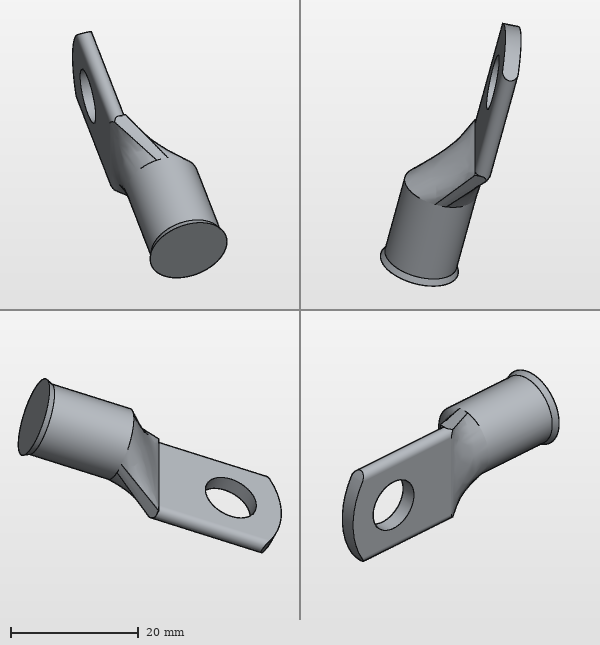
import cadquery as cq
import math

length = 43.6
palm_width = 16.8
palm_thickness = 2.53
palm_lower_y = -6.1
palm_length = 20.85
tip_radius = 14.05
hole_diameter = 8.65
hole_x = 8.6

barrel_radius = 5.8
barrel_start_x = 29.05
flare_radius = 6.28
flare_length = 1.05
side_strip_angle = math.radians(9)

edge_radius = palm_thickness / 2
palm_upper_y = palm_lower_y + palm_thickness
palm_mid_y = palm_lower_y + edge_radius
half_width = palm_width / 2
half_flat = half_width - edge_radius


def palm_section(x):
    """Palm cross-section at x: two flat faces joined by full-round edges."""
    return (
        cq.Workplane("YZ", origin=(x, 0, 0))
        .moveTo(palm_upper_y, -half_flat)
        .lineTo(palm_upper_y, half_flat)
        .threePointArc((palm_mid_y, half_width), (palm_lower_y, half_flat))
        .lineTo(palm_lower_y, -half_flat)
        .threePointArc((palm_mid_y, -half_width), (palm_upper_y, -half_flat))
        .close()
    )


def transition_section(x):
    """Square-cornered rectangle at x, as wide and thick as the palm."""
    return (
        cq.Workplane("YZ", origin=(x, 0, 0))
        .moveTo(palm_upper_y, -half_width)
        .lineTo(palm_upper_y, half_width)
        .lineTo(palm_lower_y, half_width)
        .lineTo(palm_lower_y, -half_width)
        .close()
    )


def barrel_section(x):
    """Barrel circle at x, split into four arcs that match the sides of the rectangle."""
    strip_y = barrel_radius * math.sin(side_strip_angle)
    strip_z = barrel_radius * math.cos(side_strip_angle)
    return (
        cq.Workplane("YZ", origin=(x, 0, 0))
        .moveTo(strip_y, -strip_z)
        .threePointArc((barrel_radius, 0), (strip_y, strip_z))
        .threePointArc((0, barrel_radius), (-strip_y, strip_z))
        .threePointArc((-barrel_radius, 0), (-strip_y, -strip_z))
        .threePointArc((0, -barrel_radius), (strip_y, -strip_z))
        .close()
    )


def make_palm():
    """Flat palm with an arched tip and a bolt hole."""
    blank = palm_section(0).extrude(palm_length)
    corner_x = tip_radius - math.sqrt(tip_radius**2 - half_width**2)
    outline = (
        cq.Workplane("XZ", origin=(0, palm_upper_y, 0))
        .moveTo(corner_x, -half_width)
        .threePointArc((0, 0), (corner_x, half_width))
        .lineTo(palm_length, half_width)
        .lineTo(palm_length, -half_width)
        .close()
        .extrude(palm_thickness)
    )
    hole = (
        cq.Workplane("XZ", origin=(hole_x, palm_upper_y, 0))
        .circle(hole_diameter / 2)
        .extrude(palm_thickness)
    )
    return blank.intersect(outline).cut(hole)


def make_transition():
    """Straight-ruled body from the palm rectangle to the barrel circle."""
    start = transition_section(palm_length).wires().val()
    end = barrel_section(barrel_start_x).wires().val()
    body = cq.Workplane(cq.Solid.makeLoft([start, end], True))

    envelope_depth = barrel_radius - palm_lower_y
    envelope = (
        cq.Workplane("XY")
        .box(barrel_start_x, envelope_depth, palm_width, centered=(False, False, True))
        .translate((0, palm_lower_y, 0))
        .edges("|X and <Y")
        .fillet(edge_radius)
    )
    return body.intersect(envelope)


def make_barrel():
    """Round barrel ending in a conical flare."""
    flare_start_x = length - flare_length
    return (
        cq.Workplane("XY")
        .moveTo(barrel_start_x, 0)
        .lineTo(barrel_start_x, barrel_radius)
        .lineTo(flare_start_x, barrel_radius)
        .lineTo(length, flare_radius)
        .lineTo(length, 0)
        .close()
        .revolve(360, (0, 0, 0), (1, 0, 0))
    )


result = make_palm().union(make_transition()).union(make_barrel())